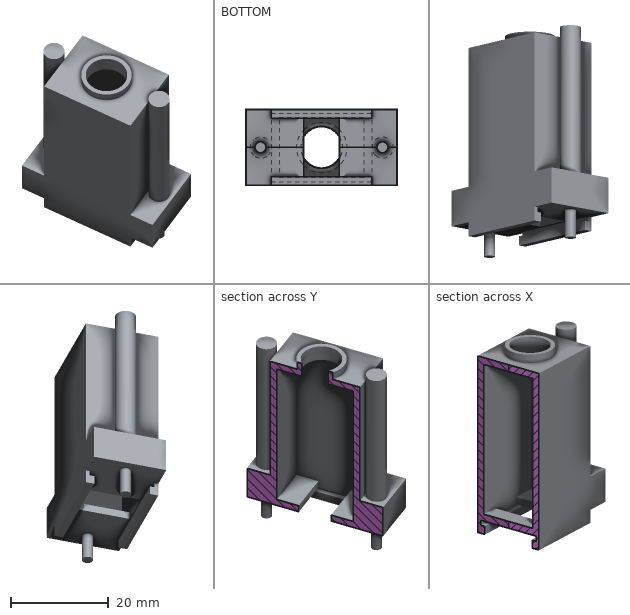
import cadquery as cq

hood_width = 20.5
hood_depth = 15.6
hood_top = 36.5
wall = 1.65

ear_span = 31.0
ear_height = 7.4

collar_diameter = 10.3
collar_height = 1.8
bore_diameter = 8.5

floor_opening_width = 7.35

hook_height = 2.9
hook_wall = 0.8
lip_reach = 1.8
groove_height = 1.0

screw_spacing = 25.0
head_diameter = 4.3
stem_diameter = 2.3
stem_protrusion = 5.78

cavity_width = hood_width - 2 * wall
cavity_depth = hood_depth - 2 * wall
cavity_height = hood_top - 2 * wall
collar_top = hood_top + collar_height
bore_depth = collar_height + wall
half_depth = hood_depth / 2


def block(width, depth, height, base_z):
    """Box centred on the Z axis, standing on base_z."""
    return cq.Workplane("XY").workplane(offset=base_z).rect(width, depth).extrude(height)


def rod(diameter, height, base_z, x=0):
    """Upright cylinder at (x, 0), standing on base_z."""
    return cq.Workplane("XY").workplane(offset=base_z).center(x, 0).circle(diameter / 2).extrude(height)


def make_front_hook():
    """L-shaped latch hook along the front edge, with its lip turned inward."""
    return (
        cq.Workplane("YZ")
        .moveTo(-half_depth, 0)
        .lineTo(-half_depth, -hook_height)
        .lineTo(-half_depth + lip_reach, -hook_height)
        .lineTo(-half_depth + lip_reach, -groove_height)
        .lineTo(-half_depth + hook_wall, -groove_height)
        .lineTo(-half_depth + hook_wall, 0)
        .close()
        .extrude(hood_width / 2, both=True)
    )


def make_front_half():
    """Front half of the hood, from the split plane to the front face."""
    shell = block(hood_width, hood_depth, hood_top, 0)
    shell = shell.union(block(ear_span, hood_depth, ear_height, 0))
    shell = shell.union(rod(collar_diameter, collar_height, hood_top))

    shell = shell.cut(block(cavity_width, cavity_depth, cavity_height, wall))
    shell = shell.cut(rod(bore_diameter, bore_depth, collar_top - bore_depth))
    shell = shell.cut(block(floor_opening_width, cavity_depth, wall, 0))

    for side in (-1, 1):
        shell = shell.cut(rod(stem_diameter, ear_height, 0, side * screw_spacing / 2))

    front_space = block(ear_span, half_depth, collar_top, 0).translate((0, -half_depth / 2, 0))
    return shell.intersect(front_space).union(make_front_hook())


def make_screw(x):
    """Long plain head resting on the ear, with a thin stem through it."""
    stem = rod(stem_diameter, stem_protrusion + ear_height, -stem_protrusion, x)
    head = rod(head_diameter, collar_top - ear_height, ear_height, x)
    return stem.union(head)


front_half = make_front_half()
back_half = front_half.mirror("XZ")
screws = [make_screw(side * screw_spacing / 2) for side in (-1, 1)]

result = cq.Compound.makeCompound(
    [front_half.val(), back_half.val(), *[screw.val() for screw in screws]]
)